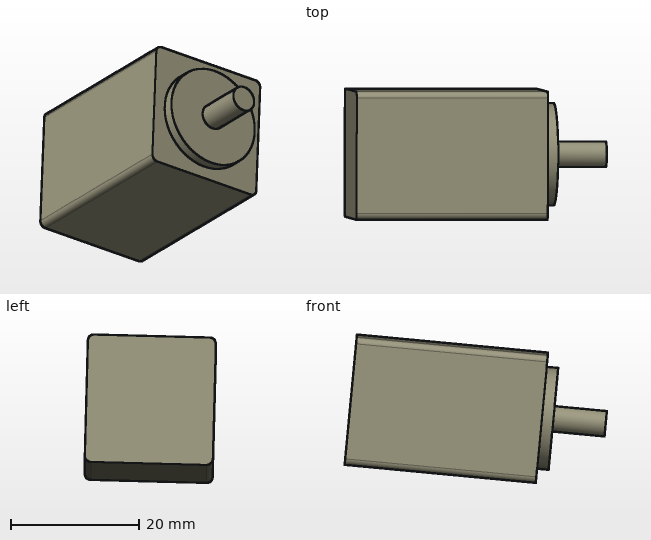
import cadquery as cq

body_length = 30.0
body_width = 20.0
corner_radius = 1.0
boss_diameter = 16.0
boss_length = 1.8
shaft_diameter = 4.0
overall_length = 39.98

roll_angle = 1.5
pitch_angle = 5.4


def make_body():
    """Square bar along X with rounded long edges."""
    return (
        cq.Workplane("YZ")
        .rect(body_width, body_width)
        .extrude(body_length)
        .edges("|X")
        .fillet(corner_radius)
    )


def add_cylinder(solid, start, diameter, length):
    """Join a cylinder on the motor axis, beginning at the given X."""
    cylinder = cq.Workplane("YZ", origin=(start, 0, 0)).circle(diameter / 2).extrude(length)
    return solid.union(cylinder)


motor = make_body()
motor = add_cylinder(motor, body_length, boss_diameter, boss_length)
shaft_start = body_length + boss_length
motor = add_cylinder(motor, shaft_start, shaft_diameter, overall_length - shaft_start)

rolled = motor.rotate((0, 0, 0), (1, 0, 0), roll_angle)
result = rolled.rotate((0, 0, 0), (0, 1, 0), pitch_angle)